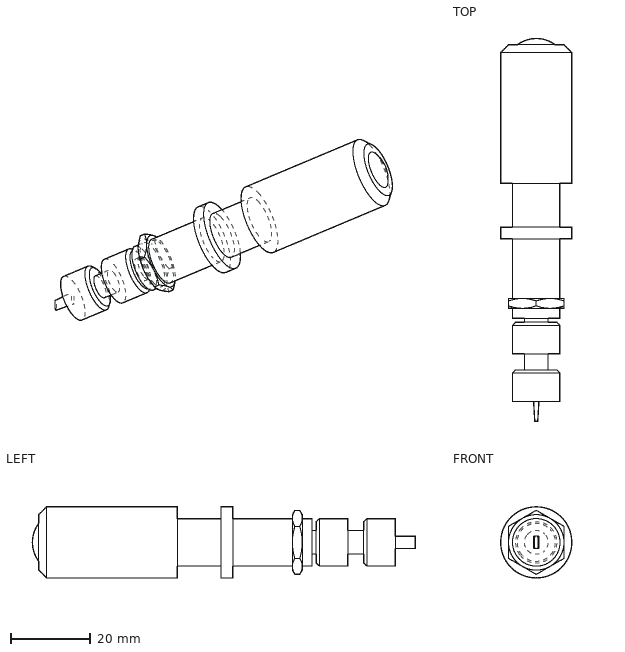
import cadquery as cq
import math


barrel_diameter = 12.0
barrel_rear_length = 20.0
barrel_front_length = 11.0
collar_diameter = 18.0
collar_length = 3.0

head_diameter = 18.0
head_length = 35.0
head_chamfer = 2.0
dome_base_diameter = 9.6
dome_height = 1.6

nut_sides = 6
nut_across_flats = 14.0
nut_thickness = 2.5
nut_rear_offset = 2.5
nut_chamfer_angle = 30.0

stem_diameter = 6.0
disc_diameter = 12.0
disc_length = 8.0
disc_chamfer = 0.8
barrel_to_disc_gap = 1.0
disc_gap = 4.0

blade_length = 5.0
blade_width = 3.2
blade_root_thickness = 1.4
blade_tip_thickness = 0.8
blade_edge_radius = 0.35

collar_front_y = collar_length
head_rear_y = collar_front_y + barrel_front_length
head_front_y = head_rear_y + head_length
barrel_rear_y = -barrel_rear_length
nut_rear_y = barrel_rear_y + nut_rear_offset
front_disc_rear_y = barrel_rear_y - barrel_to_disc_gap - disc_length
rear_disc_rear_y = front_disc_rear_y - disc_gap - disc_length


def section_plane(y):
    """Plane across the axis at y, with its normal along +Y and local y along Z."""
    return cq.Workplane(cq.Plane(origin=(0, y, 0), xDir=(-1, 0, 0), normal=(0, 1, 0)))


def cylinder(rear_y, length, diameter):
    return section_plane(rear_y).circle(diameter / 2).extrude(length)


def make_head():
    """Cylinder with a chamfered front edge and a spherical dome on its front face."""
    radius = head_diameter / 2
    dome_radius = dome_base_diameter / 2
    tip_y = head_front_y + dome_height
    sphere_radius = (dome_radius**2 + dome_height**2) / (2 * dome_height)
    half_angle = math.asin(dome_radius / sphere_radius) / 2
    arc_middle = (
        sphere_radius * math.sin(half_angle),
        tip_y - sphere_radius * (1 - math.cos(half_angle)),
    )
    profile = (
        cq.Workplane("XY")
        .moveTo(0, head_rear_y)
        .lineTo(radius, head_rear_y)
        .lineTo(radius, head_front_y - head_chamfer)
        .lineTo(radius - head_chamfer, head_front_y)
        .lineTo(dome_radius, head_front_y)
        .threePointArc(arc_middle, (0, tip_y))
        .close()
    )
    return profile.revolve(360, (0, 0, 0), (0, 1, 0))


def make_nut():
    """Hexagon with two corners on the Z axis, its corners bevelled on both faces."""
    flat_radius = nut_across_flats / 2
    corner_radius = flat_radius / math.cos(math.pi / nut_sides)
    bevel = (corner_radius - flat_radius) * math.tan(math.radians(nut_chamfer_angle))
    front_y = nut_rear_y + nut_thickness
    hexagon = (
        section_plane(nut_rear_y)
        .polygon(nut_sides, 2 * corner_radius)
        .extrude(nut_thickness)
        .rotate((0, 0, 0), (0, 1, 0), 180 / nut_sides)
    )
    bevel_envelope = (
        cq.Workplane("XY")
        .moveTo(0, nut_rear_y)
        .lineTo(flat_radius, nut_rear_y)
        .lineTo(corner_radius, nut_rear_y + bevel)
        .lineTo(corner_radius, front_y - bevel)
        .lineTo(flat_radius, front_y)
        .lineTo(0, front_y)
        .close()
        .revolve(360, (0, 0, 0), (0, 1, 0))
    )
    return hexagon.intersect(bevel_envelope)


def make_disc(rear_y):
    """Rear disc with its front edge chamfered."""
    return cylinder(rear_y, disc_length, disc_diameter).faces(">Y").edges().chamfer(disc_chamfer)


def make_blade():
    """Flat blade behind the rear disc, its width along Z and its long edges rounded."""
    tip_y = rear_disc_rear_y - blade_length
    wedge = (
        cq.Workplane("XY")
        .moveTo(-blade_root_thickness / 2, rear_disc_rear_y)
        .lineTo(-blade_tip_thickness / 2, tip_y)
        .lineTo(blade_tip_thickness / 2, tip_y)
        .lineTo(blade_root_thickness / 2, rear_disc_rear_y)
        .close()
        .extrude(blade_width / 2, both=True)
    )
    long_edges = wedge.faces(">Z or <Z").edges("not #Y")
    return long_edges.fillet(blade_edge_radius)


result = (
    cylinder(barrel_rear_y, head_rear_y - barrel_rear_y, barrel_diameter)
    .union(cylinder(0, collar_length, collar_diameter))
    .union(make_head())
    .union(make_nut())
    .union(cylinder(rear_disc_rear_y, barrel_rear_y - rear_disc_rear_y, stem_diameter))
)
for disc_rear_y in (front_disc_rear_y, rear_disc_rear_y):
    result = result.union(make_disc(disc_rear_y))
result = result.union(make_blade())